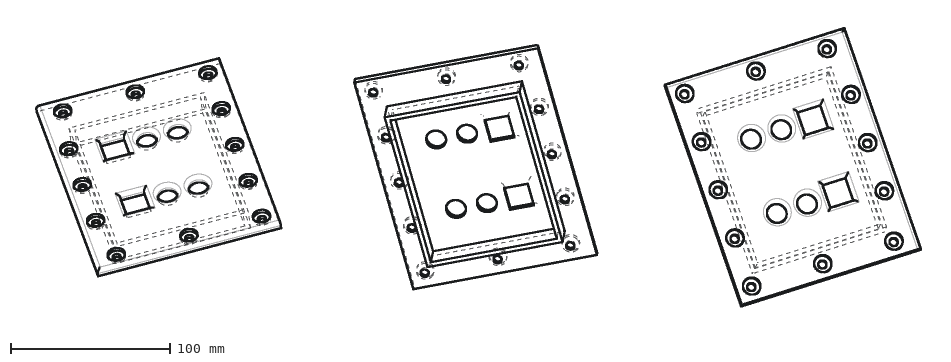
import cadquery as cq
import math

TILT = 5.6
WIDTH = 149.0
PLATE_T = 5.0
SPAN_Y = 119.2

EDGE_R = 2.5

TILT_RAD = math.radians(TILT)
DEPTH = (SPAN_Y - (PLATE_T - EDGE_R) * math.sin(TILT_RAD)) / math.cos(TILT_RAD)

SKIRT_X = 108.0
SKIRT_Y = 87.9
SKIRT_H = 14.9
SKIRT_WALL = 3.0
SKIRT_FRONT = 15.6

SCREW_D = 5.2
BORE_D = 11.0
BORE_DEPTH = 2.5
SCREW_PITCH_X = 32.5
SCREW_PITCH_Y = 47.4
REAR_ROW_Y = 109.7
FRONT_ROW_Y = 10.1

BUTTON_D = 12.5
BUTTON_OFFSET_X = 25.0
BUTTON_YS = (58.9, 79.0)
WINDOW = 15.5
WINDOW_XS = (-24.3, 24.7)
WINDOW_Y = 38.0
RIM_R = 2.5


def make_plate():
    plate = cq.Workplane("XY").box(WIDTH, DEPTH, PLATE_T, centered=(True, False, False))
    return plate.faces(">Z").edges("<Y or >X").fillet(EDGE_R)


def make_skirt():
    center_y = SKIRT_FRONT + SKIRT_Y / 2
    return (
        cq.Workplane("XY")
        .center(0, center_y)
        .rect(SKIRT_X, SKIRT_Y)
        .rect(SKIRT_X - 2 * SKIRT_WALL, SKIRT_Y - 2 * SKIRT_WALL)
        .extrude(-SKIRT_H)
    )


def screw_points():
    rear = [(i * SCREW_PITCH_X, REAR_ROW_Y) for i in range(-2, 3)]
    sides = [
        (side * 2 * SCREW_PITCH_X, REAR_ROW_Y - row * SCREW_PITCH_Y)
        for side in (-1, 1)
        for row in (1, 2)
    ]
    front = [(i * SCREW_PITCH_X, FRONT_ROW_Y) for i in range(-1, 2)]
    return rear + sides + front


def cut_openings(plate):
    """Cut the button holes and windows, then round their upper rims."""
    top = cq.Workplane("XY").workplane(offset=PLATE_T)
    buttons = [(side * BUTTON_OFFSET_X, y) for side in (-1, 1) for y in BUTTON_YS]
    windows = [(x, WINDOW_Y) for x in WINDOW_XS]
    cutters = top.pushPoints(buttons).circle(BUTTON_D / 2).extrude(-PLATE_T)
    cutters = cutters.union(top.pushPoints(windows).rect(WINDOW, WINDOW).extrude(-PLATE_T))
    pierced = plate.cut(cutters)
    rim_wires = pierced.faces(">Z").val().innerWires()
    rim_edges = [edge for wire in rim_wires for edge in wire.Edges()]
    return pierced.newObject(rim_edges).fillet(RIM_R)


def cut_screw_holes(plate):
    return (
        plate.faces(">Z")
        .workplane(origin=(0, 0, PLATE_T))
        .pushPoints(screw_points())
        .cboreHole(SCREW_D, BORE_D, BORE_DEPTH)
    )


plate = cut_screw_holes(cut_openings(make_plate()))
result = plate.union(make_skirt()).rotate((0, 0, 0), (1, 0, 0), TILT)